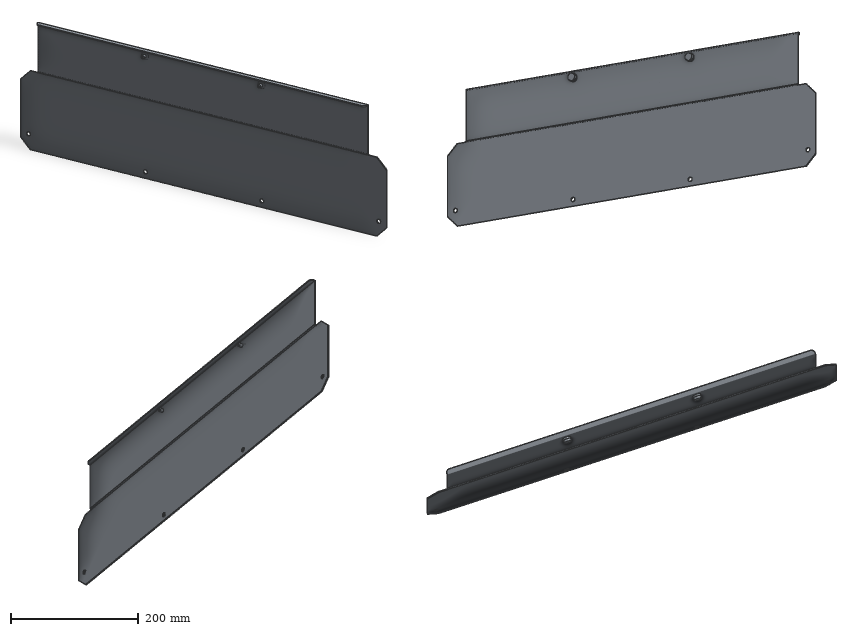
import cadquery as cq
import math

total_length = 679.0
total_depth = 16.0
total_height = 222.5
sheet = 2.0

top_z = total_height / 2
bottom_z = -total_height / 2
front_y = -total_depth / 2
back_y = total_depth / 2

lower_height = 135.2
corner_clip = 18.0
lower_top_z = bottom_z + lower_height
lower_front_y = 1.0

upper_length = 612.0
upper_front_y = lower_front_y - sheet
upper_back_y = upper_front_y + sheet
joggle_angle = 45.0

flange_corner_radius = 6.5
bend_radius = 1.0

hole_diameter = 7.0
bottom_hole_spacing = 216.0
bottom_hole_inset = 11.0
side_hole_spacing = 650.0
side_hole_height = 26.2

fastener_spacing = bottom_hole_spacing
fastener_drop = 11.8
head_diameter = 12.6
washer_diameter = 13.0
washer_thickness = 3.0
stud_diameter = 6.0
stud_chamfer = 1.5


def make_lower_panel():
    """Clipped rectangular sheet with four mounting holes."""
    panel = (
        cq.Workplane("XY")
        .box(total_length, sheet, lower_height, centered=(True, False, False))
        .edges("|Y")
        .chamfer(corner_clip)
        .translate((0, lower_front_y, bottom_z))
    )
    bottom_hole_z = bottom_z + bottom_hole_inset
    side_hole_z = bottom_z + side_hole_height
    for side in (-1, 1):
        panel = panel.cut(make_rod(side * bottom_hole_spacing / 2, bottom_hole_z, hole_diameter, front_y, back_y))
        panel = panel.cut(make_rod(side * side_hole_spacing / 2, side_hole_z, hole_diameter, front_y, back_y))
    return panel


def make_rod(x, z, diameter, start_y, end_y):
    """Cylinder along Y from start_y to end_y."""
    return (
        cq.Workplane("XZ", origin=(x, end_y, z))
        .circle(diameter / 2)
        .extrude(end_y - start_y)
    )


def make_upper_panel():
    """Upright sheet with a joggle at its foot and a round-cornered flange bent forward at its top."""
    lower_back_y = lower_front_y + sheet
    joggle_height = sheet / math.tan(math.radians(joggle_angle))
    bend_offset = sheet * math.tan(math.radians(joggle_angle / 2))
    profile = (
        cq.Workplane("YZ")
        .moveTo(upper_front_y, lower_top_z + joggle_height)
        .lineTo(lower_front_y, lower_top_z)
        .lineTo(lower_back_y, lower_top_z)
        .lineTo(lower_back_y, lower_top_z + bend_offset)
        .lineTo(upper_back_y, lower_top_z + joggle_height + bend_offset)
        .lineTo(upper_back_y, top_z)
        .lineTo(front_y, top_z)
        .lineTo(front_y, top_z - sheet)
        .lineTo(upper_front_y, top_z - sheet)
        .close()
    )
    panel = profile.extrude(upper_length / 2, both=True)
    panel = panel.edges("|Z and <Y").fillet(flange_corner_radius)
    outer_bend = cq.selectors.NearestToPointSelector((0, upper_back_y, top_z))
    return panel.edges("|X").edges(outer_bend).fillet(bend_radius)


def make_fastener(x):
    """Round head and washer behind the upper panel with a chamfered stud in front."""
    z = top_z - fastener_drop
    head = make_rod(x, z, head_diameter, upper_back_y, back_y)
    washer = make_rod(x, z, washer_diameter, upper_back_y, upper_back_y + washer_thickness)
    stud = make_rod(x, z, stud_diameter, front_y, back_y)
    stud = stud.faces("<Y").chamfer(stud_chamfer)
    return head.union(washer).union(stud)


result = make_lower_panel().union(make_upper_panel())
for side in (-1, 1):
    result = result.union(make_fastener(side * fastener_spacing / 2))